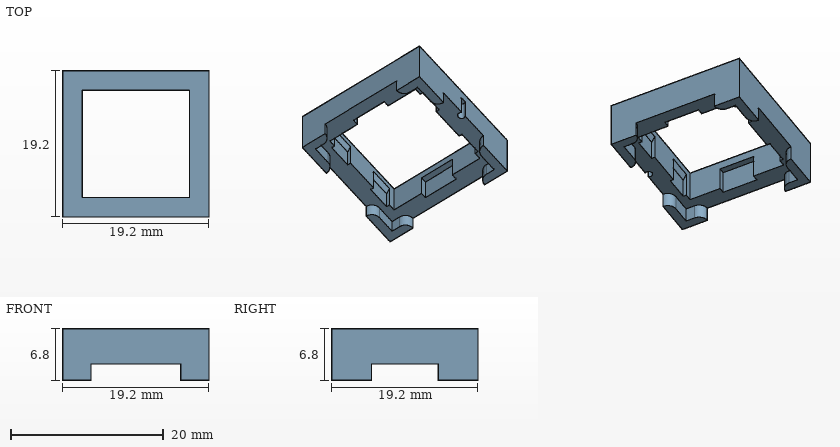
import cadquery as cq
import math

side = 19.2
height = 6.8
window = 14.02
leg_height = 2.13
half = side / 2
half_window = window / 2

leg_length_x = 3.75
leg_length_y = 5.25
leg_thickness = 1.25

clip_top = 5.57
clip_height = clip_top - leg_height
clip_width = 5.03
clip_depth = 0.85
side_recess_width = 3.48
side_recess_gap = 5.03
side_recess_depth = 0.46
side_recess_top = 5.76
side_recess_slope = 0.8

bore_radius = 0.5
bore_opening = 0.77
bore_top = 5.3


def make_frame():
    plate = cq.Workplane("XY").workplane(offset=leg_height).rect(side, side).rect(window, window)
    return plate.extrude(height - leg_height)


def make_leg():
    """Leg at the +X +Y corner."""
    inner = half - leg_thickness
    end_x = half - leg_length_x
    end_y = half - leg_length_y
    arc_reach = leg_thickness * math.sqrt(0.5)
    return (
        cq.Workplane("XY")
        .moveTo(half, half)
        .lineTo(end_x, half)
        .threePointArc((end_x + leg_thickness - arc_reach, half - arc_reach), (end_x + leg_thickness, inner))
        .lineTo(inner, inner)
        .lineTo(inner, end_y + leg_thickness)
        .threePointArc((half - arc_reach, end_y + leg_thickness - arc_reach), (half, end_y))
        .close()
        .extrude(leg_height)
    )


def make_clip_recesses():
    """Central recesses in the +Y and -Y window walls."""
    length = window + 2 * clip_depth
    return cq.Workplane("XY").workplane(offset=leg_height).rect(clip_width, length).extrude(clip_height)


def make_side_recesses(center_y):
    """Facing recesses in the -X and +X window walls, with sloping ceilings."""
    outer = half_window + side_recess_depth
    shoulder = side_recess_top - side_recess_slope
    profile = [
        (-outer, leg_height),
        (-outer, shoulder),
        (-half_window, side_recess_top),
        (half_window, side_recess_top),
        (outer, shoulder),
        (outer, leg_height),
    ]
    section = cq.Workplane("XZ", origin=(0, center_y, 0)).polyline(profile).close()
    return section.extrude(side_recess_width / 2, both=True)


def make_bore():
    inset = math.sqrt(bore_radius**2 - (bore_opening / 2) ** 2)
    return cq.Workplane("XY").center(inset - half, 0).circle(bore_radius).extrude(bore_top)


result = make_frame()

leg = make_leg()
leg_pair = leg.union(leg.mirror("YZ"))
result = result.union(leg_pair).union(leg_pair.mirror("XZ"))

result = result.cut(make_clip_recesses())
side_recess_center = (side_recess_gap + side_recess_width) / 2
for direction in (-1, 1):
    result = result.cut(make_side_recesses(direction * side_recess_center))

result = result.cut(make_bore())